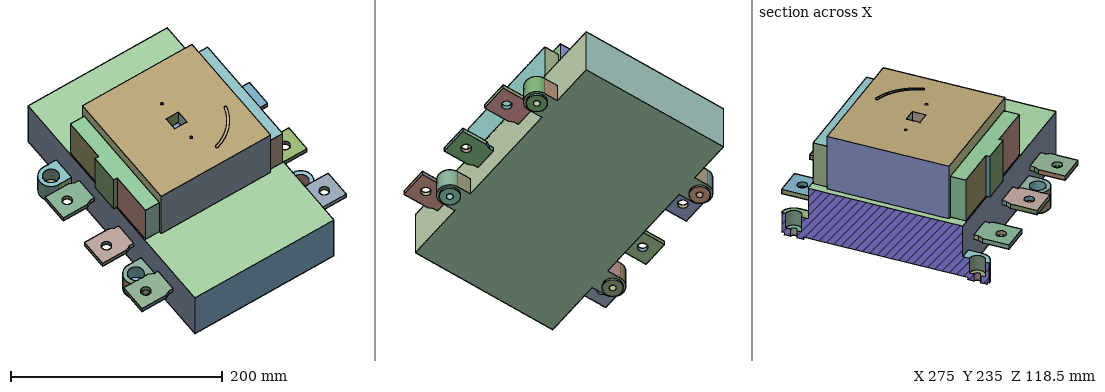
import cadquery as cq
import math

body_length = 275.0
body_width = 160.0
body_height = 57.0

mechanism_x = -7.5
cover_length = 129.8
cover_width = 126.0
cover_height = 59.0
skirt_length = 123.8
skirt_width = 157.8
skirt_height = 46.0
tab_length = 30.8
tab_projection = 4.0

socket_side = 14.0
socket_depth = 16.5
screw_hole_diameter = 2.5
screw_hole_spacing = 48.0
screw_hole_depth = 2.8
groove_radius = 48.7
groove_width = 2.8
groove_depth = 0.5
groove_start_angle = 16.5
groove_end_angle = 90.0 - groove_start_angle

overall_width = 235.0
terminal_pitch = 65.0
middle_terminal_x = 24.2
terminal_width = 30.0
terminal_neck_width = 25.0
terminal_neck_length = 5.0
terminal_taper_length = 5.0
terminal_thickness = 5.0
terminal_bottom = 27.0
terminal_hole_diameter = 10.0
terminal_hole_inset = 14.8

lug_pitch_x = 140.0
lug_pair_x = -8.5
lug_offset = 14.8
lug_width = 25.0
lug_height = 22.5
lug_hole_diameter = 6.5
lug_bore_diameter = 16.0
lug_bore_depth = 16.5
foot_diameter = 20.0
foot_height = 2.5

body_edge = body_width / 2
cover_top = body_height + cover_height
lug_y = body_edge + lug_offset
terminal_xs = [middle_terminal_x + step * terminal_pitch for step in (-1, 0, 1)]
lug_xs = [lug_pair_x + side * lug_pitch_x / 2 for side in (-1, 1)]


def block(length, width, height, x, y, bottom):
    """Box centred on (x, y) and standing on the given height."""
    return cq.Workplane("XY", origin=(x, y, bottom)).rect(length, width).extrude(height)


def cylinder(diameter, height, x, y, bottom):
    """Upright cylinder standing on the given height."""
    return cq.Workplane("XY", origin=(x, y, bottom)).circle(diameter / 2).extrude(height)


def mechanism():
    """Cover, the lower skirt around it and the tab on the front of the skirt."""
    cover = block(cover_length, cover_width, cover_height, mechanism_x, 0, body_height)
    skirt = block(skirt_length, skirt_width, skirt_height, mechanism_x, 0, body_height)
    tab_y = -(skirt_width + tab_projection) / 2
    tab = block(tab_length, tab_projection, skirt_height, mechanism_x, tab_y, body_height)
    return cover.union(skirt).union(tab)


def polar(radius, angle):
    """Point at a radius and an angle in degrees around the shaft axis."""
    return radius * math.cos(math.radians(angle)), radius * math.sin(math.radians(angle))


def indicator_groove():
    """Arc-shaped groove with rounded ends, concentric with the shaft socket."""
    inner = groove_radius - groove_width / 2
    outer = groove_radius + groove_width / 2
    middle_angle = (groove_start_angle + groove_end_angle) / 2
    cap_angle = math.degrees(groove_width / 2 / groove_radius)
    return (
        cq.Workplane("XY", origin=(mechanism_x, 0, cover_top - groove_depth))
        .moveTo(*polar(outer, groove_start_angle))
        .threePointArc(polar(outer, middle_angle), polar(outer, groove_end_angle))
        .threePointArc(polar(groove_radius, groove_end_angle + cap_angle), polar(inner, groove_end_angle))
        .threePointArc(polar(inner, middle_angle), polar(inner, groove_start_angle))
        .threePointArc(polar(groove_radius, groove_start_angle - cap_angle), polar(outer, groove_start_angle))
        .close()
        .extrude(groove_depth)
    )


def cover_cuts():
    """Square shaft socket, a screw hole on either side and the groove."""
    cuts = block(socket_side, socket_side, socket_depth, mechanism_x, 0, cover_top - socket_depth)
    for side in (-1, 1):
        hole_x = mechanism_x + side * screw_hole_spacing / 2
        hole_bottom = cover_top - screw_hole_depth
        cuts = cuts.union(cylinder(screw_hole_diameter, screw_hole_depth, hole_x, 0, hole_bottom))
    return cuts.union(indicator_groove())


def terminal(x):
    """Drilled flat bar on the +Y side, widening from its neck to its end."""
    neck_end = body_edge + terminal_neck_length
    taper_end = neck_end + terminal_taper_length
    tip = overall_width / 2
    neck = terminal_neck_width / 2
    half = terminal_width / 2
    outline = [
        (-neck, body_edge), (-neck, neck_end), (-half, taper_end), (-half, tip),
        (half, tip), (half, taper_end), (neck, neck_end), (neck, body_edge),
    ]
    base = cq.Workplane("XY", origin=(x, 0, terminal_bottom))
    bar = base.polyline(outline).close().extrude(terminal_thickness)
    hole_y = tip - terminal_hole_inset
    return bar.cut(cylinder(terminal_hole_diameter, terminal_thickness, x, hole_y, terminal_bottom))


def lug(x):
    """Round-ended lug on the +Y side with a foot below and a counterbored through hole."""
    web = block(lug_width, lug_offset, lug_height, x, body_edge + lug_offset / 2, 0)
    end = cylinder(lug_width, lug_height, x, lug_y, 0)
    foot = cylinder(foot_diameter, foot_height, x, lug_y, -foot_height)
    hole = cylinder(lug_hole_diameter, lug_height + foot_height, x, lug_y, -foot_height)
    bore = cylinder(lug_bore_diameter, lug_bore_depth, x, lug_y, lug_height - lug_bore_depth)
    return web.union(end).union(foot).cut(hole).cut(bore)


result = block(body_length, body_width, body_height, 0, 0, 0).union(mechanism()).cut(cover_cuts())
side_parts = [terminal(x) for x in terminal_xs] + [lug(x) for x in lug_xs]
for side_part in side_parts:
    result = result.union(side_part).union(side_part.mirror("XZ"))